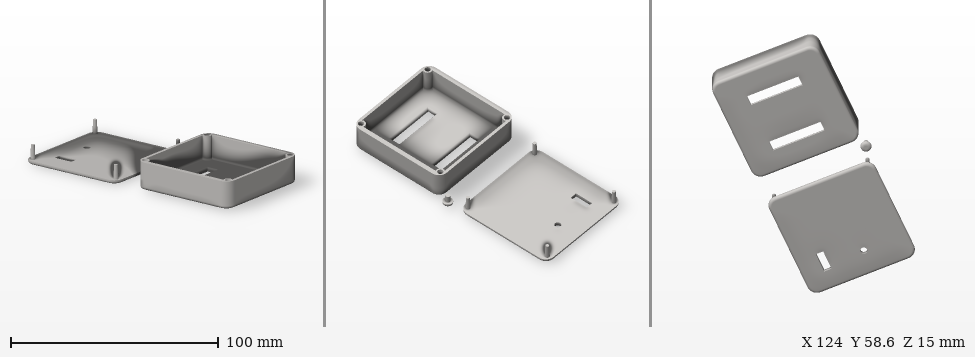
import cadquery as cq

side = 55.9
corner_radius = 5.0
bottom_fillet = 1.5
post_spacing_x = 50.5
post_spacing_y = 49.1

plate_thickness = 2.0
pin_base_diameter = 2.5
pin_tip_diameter = 1.9
pin_height = 7.2
lid_hole_diameter = 3.3
lid_hole_x = -15.1
lid_hole_y = 5.1
window_length = 10.2
window_width = 3.8
window_x = -12.8
window_y = -15.0

overall_length = 124.0
box_x = overall_length - side
box_bottom = 1.0
box_top = 15.0
box_height = box_top - box_bottom
wall_x = 1.6
wall_y = 2.5
floor_thickness = plate_thickness
cavity_fillet = 1.0
boss_diameter = 4.7
boss_hole_diameter = 3.0
boss_hole_depth = pin_height
slot_length = 27.0
slot_width = 5.1
slot_rounding = 1.0
slot_spacing = 26.8
slot_pair_x = -0.5

button_x = 35.1
button_y = 28.0
head_diameter = 5.3
head_height = plate_thickness
stem_diameter = 2.5
stem_height = 3.7


def rounded_block(height):
    """Square block with round corners and a rounded underside, standing on Z = 0."""
    block = cq.Workplane("XY").rect(side, side).extrude(height)
    return block.edges("|Z").fillet(corner_radius).faces("<Z").edges().fillet(bottom_fillet)


def corner_posts(z):
    """Workplane at height z holding the four places shared by the lid pins and the box bosses."""
    plane = cq.Workplane("XY", origin=(0, 0, z))
    return plane.rect(post_spacing_x, post_spacing_y, forConstruction=True).vertices()


def make_lid():
    lid = rounded_block(plate_thickness)

    pin = cq.Solid.makeCone(pin_base_diameter / 2, pin_tip_diameter / 2, pin_height)
    lid = lid.union(corner_posts(plate_thickness).eachpoint(pin))

    plane = cq.Workplane("XY")
    hole = plane.center(lid_hole_x, lid_hole_y).circle(lid_hole_diameter / 2).extrude(plate_thickness)
    window = plane.center(window_x, window_y).rect(window_length, window_width).extrude(plate_thickness)
    return lid.cut(hole).cut(window)


def make_cavity():
    """Inner space of the box above its floor, notched at the corners by the bosses."""
    depth = box_height - floor_thickness
    space = (
        cq.Workplane("XY", origin=(0, 0, floor_thickness))
        .rect(side - 2 * wall_x, side - 2 * wall_y)
        .extrude(depth)
    )
    bosses = corner_posts(floor_thickness).circle(boss_diameter / 2).extrude(depth)
    return space.cut(bosses).faces("<Z").edges().fillet(cavity_fillet)


def make_box():
    box = rounded_block(box_height).cut(make_cavity())

    box = box.cut(corner_posts(box_height).circle(boss_hole_diameter / 2).extrude(-boss_hole_depth))

    slot_places = [(slot_pair_x + step * slot_spacing, 0) for step in (-0.5, 0.5)]
    slots = cq.Workplane("XY").pushPoints(slot_places).rect(slot_width, slot_length).extrude(floor_thickness)
    box = box.cut(slots)
    floor_centre = (0, 0, floor_thickness)
    floor_face = box.faces(cq.selectors.NearestToPointSelector(floor_centre)).val()
    rim_edges = [edge for rim in floor_face.innerWires() for edge in rim.Edges()]
    box = box.newObject(rim_edges).fillet(slot_rounding)
    return box.translate((box_x, 0, box_bottom))


def make_button():
    button = cq.Workplane("XY").circle(head_diameter / 2).extrude(head_height)
    button = button.faces("<Z").edges().fillet(bottom_fillet)
    button = button.faces(">Z").workplane().circle(stem_diameter / 2).extrude(stem_height)
    return button.translate((button_x, button_y, box_bottom))


lid = make_lid()
box = make_box()
button = make_button()

result = cq.Compound.makeCompound([lid.val(), box.val(), button.val()])